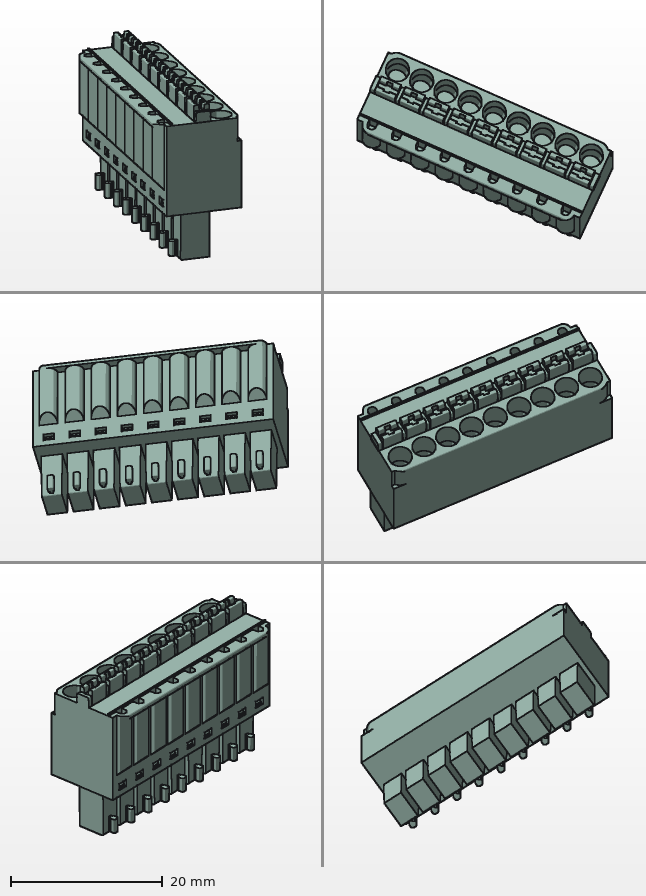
import cadquery as cq
import math


POLES = 9
BODY_LENGTH = 32.2
END_POLE_INSET = 2.1
PITCH = (BODY_LENGTH - 2 * END_POLE_INSET) / (POLES - 1)
POLE_X = [(i - (POLES - 1) / 2) * PITCH for i in range(POLES)]

BODY_DEPTH = 10.53
BODY_BOTTOM = 6.62
BODY_TOP = 19.2
BACK_TOP_FILLET = 0.3
CORNER_CUT_DEPTH = 0.58
CORNER_CUT_BOTTOM = 15.95
CORNER_LEDGE = 0.45
CORNER_RADIUS = 1.85

BARREL_RADIUS = 1.25
BARREL_REACH = 1.15
BARREL_CENTER_Y = BARREL_RADIUS - BARREL_REACH
BARREL_BOTTOM = 10.05
LID_BOTTOM = 18.5
LID_FILLET = 0.3
TEST_SLOT_DIAMETER = 1.2
TEST_SLOT_DEPTH = 3.23

RAIL_FRONT = 0.68
RAIL_WIDTH = 0.2
RAIL_HEIGHT = 0.23

FUNNEL_CENTER_Y = 8.27
FUNNEL_DIAMETER = 3.1
FUNNEL_FLOOR_WIDTH = 2.42
FUNNEL_FLOOR_DEPTH = 1.85
FUNNEL_BORE_DEPTH = 3.23
FUNNEL_TAPER_HEIGHT = 1.1

RIDGE_FRONT = 4.07
RIDGE_BACK = 6.2
RIDGE_CENTER_Y = (RIDGE_FRONT + RIDGE_BACK) / 2
RIDGE_TOP = 20.67
RIDGE_DRAFT = 0.1
RIDGE_FILLET = 0.2
RIDGE_OVERHANG = 0.1
RIDGE_SHIFT = RIDGE_OVERHANG / 2
RIDGE_GAP_WIDTH = 3.05

BUTTON_WIDTH = 2.85
BUTTON_TOP = 21.4
BUTTON_FILLET = 0.15
GROOVE_FLOOR_Z = 20.5
GROOVE_TOP_WIDTH = 0.85
GROOVE_FLOOR_WIDTH = 0.58
NOTCH_WIDTH = 0.78
NOTCH_FRONT = 4.5
NOTCH_BACK = 5.85
NOTCH_FLOOR_BACK = 5.55

WINDOW_WIDTH = 1.45
WINDOW_BOTTOM = 7.53
WINDOW_TOP = 8.5
WINDOW_DEPTH = 0.65
WEDGE_WIDTH = 1.3
WEDGE_FRONT = 0.25
WEDGE_STEP = 0.3

LEG_FRONT = 2.23
LEG_BACK = 6.3
LEG_TOP_WIDTH = 2.85
LEG_BOTTOM_WIDTH = 2.68
LEG_FILLET = 0.3

LUG_BOTTOM = 0.32
LUG_TOP = 2.45
LUG_WIDTH = 0.87
LUG_STEM_WIDTH = 0.45
LUG_REACH = 1.15
LUG_STEM_LENGTH = 0.2
LUG_FLARE_LENGTH = 0.3
LUG_NOSE_RADIUS = 0.32
LUG_BOTTOM_FILLET = 0.15

OVERLAP = 0.15


def box(x_range, y_range, z_range):
    """Box between the given limits along each axis."""
    (x0, x1), (y0, y1), (z0, z1) = x_range, y_range, z_range
    return cq.Workplane("XY").box(x1 - x0, y1 - y0, z1 - z0, centered=False).translate((x0, y0, z0))


def centered(width):
    """Limits of a width centred on zero."""
    return (-width / 2, width / 2)


def prism_along_x(points, width):
    """Closed (Y, Z) outline extruded along X, centred on X = 0."""
    return cq.Workplane("YZ").polyline(points).close().extrude(width / 2, both=True)


def at_each_pole(shape):
    """Copies of a shape, modelled at X = 0, placed at every pole."""
    solid = shape.val()
    return cq.Workplane(cq.Compound.makeCompound([solid.translate(cq.Vector(x, 0, 0)) for x in POLE_X]))


def make_housing():
    housing = box(centered(BODY_LENGTH), (0, BODY_DEPTH), (BODY_BOTTOM, BODY_TOP))
    housing = housing.edges(">Y and >Z").fillet(BACK_TOP_FILLET)
    corner = make_corner_cut()
    return housing.cut(corner).cut(corner.mirror("YZ"))


def make_corner_cut():
    """Relief at the left back corner: a flat ledge that runs into the back face by an arc."""
    arc_run = math.sqrt(CORNER_RADIUS**2 - (CORNER_RADIUS - CORNER_CUT_DEPTH) ** 2)
    end_x = -BODY_LENGTH / 2
    ledge_y = BODY_DEPTH - CORNER_CUT_DEPTH
    arc_start_x = end_x + CORNER_LEDGE
    return (
        cq.Workplane("XY", origin=(0, 0, CORNER_CUT_BOTTOM))
        .moveTo(end_x, BODY_DEPTH)
        .lineTo(end_x, ledge_y)
        .lineTo(arc_start_x, ledge_y)
        .radiusArc((arc_start_x + arc_run, BODY_DEPTH), CORNER_RADIUS)
        .close()
        .extrude(BODY_TOP - CORNER_CUT_BOTTOM)
    )


def make_front_barrels():
    """Round barrels and their lid, trimmed to one side profile with a sloped foot."""
    back = BARREL_CENTER_Y + OVERLAP
    profile = [
        (back, BARREL_BOTTOM - back),
        (-BARREL_REACH, BARREL_BOTTOM + BARREL_REACH),
        (-BARREL_REACH, BODY_TOP),
        (back, BODY_TOP),
    ]
    envelope = prism_along_x(profile, BODY_LENGTH).edges("<Y and >Z").fillet(LID_FILLET)
    barrel = (
        cq.Workplane("XY", origin=(0, BARREL_CENTER_Y, BODY_BOTTOM))
        .circle(BARREL_RADIUS)
        .extrude(BODY_TOP - BODY_BOTTOM)
    )
    lid = box((POLE_X[0], POLE_X[-1]), (-BARREL_REACH, back), (LID_BOTTOM, BODY_TOP))
    return lid.union(at_each_pole(barrel)).intersect(envelope)


def make_test_slot():
    """U-shaped slot: round at the front, flat at the back where it meets the rail."""
    radius = TEST_SLOT_DIAMETER / 2
    return (
        cq.Workplane("XY", origin=(0, 0, BODY_TOP - TEST_SLOT_DEPTH))
        .moveTo(-radius, RAIL_FRONT)
        .lineTo(-radius, BARREL_CENTER_Y)
        .threePointArc((0, BARREL_CENTER_Y - radius), (radius, BARREL_CENTER_Y))
        .lineTo(radius, RAIL_FRONT)
        .close()
        .extrude(TEST_SLOT_DEPTH)
    )


def make_rail():
    return box(
        centered(BODY_LENGTH),
        (RAIL_FRONT, RAIL_FRONT + RAIL_WIDTH),
        (BODY_TOP - OVERLAP, BODY_TOP + RAIL_HEIGHT),
    )


def make_funnel():
    """Wire entry: a round bore that narrows at its bottom to an elliptical floor."""
    taper_top = BODY_TOP - FUNNEL_BORE_DEPTH
    bore = (
        cq.Workplane("XY", origin=(0, FUNNEL_CENTER_Y, taper_top))
        .circle(FUNNEL_DIAMETER / 2)
        .extrude(FUNNEL_BORE_DEPTH)
    )
    taper = (
        cq.Workplane("XY", origin=(0, FUNNEL_CENTER_Y, taper_top))
        .circle(FUNNEL_DIAMETER / 2)
        .workplane(offset=-FUNNEL_TAPER_HEIGHT)
        .ellipse(FUNNEL_FLOOR_WIDTH / 2, FUNNEL_FLOOR_DEPTH / 2)
        .loft(ruled=True)
    )
    return bore.union(taper)


def make_ridge_with_buttons():
    """Drafted ridge with a button standing in a gap at each pole; it overhangs the housing at the right end."""
    profile = [
        (RIDGE_FRONT, BODY_TOP),
        (RIDGE_FRONT + RIDGE_DRAFT, RIDGE_TOP),
        (RIDGE_BACK - RIDGE_DRAFT, RIDGE_TOP),
        (RIDGE_BACK, BODY_TOP),
    ]
    ridge = prism_along_x(profile, BODY_LENGTH + RIDGE_OVERHANG)
    ridge = ridge.faces(">Z").edges("|X").fillet(RIDGE_FILLET)
    gap = box(centered(RIDGE_GAP_WIDTH), (RIDGE_FRONT, RIDGE_BACK), (BODY_TOP, RIDGE_TOP))
    ridge = ridge.cut(at_each_pole(gap))
    return ridge.union(at_each_pole(make_button())).translate((RIDGE_SHIFT, 0, 0))


def make_button():
    """Push button with a lengthwise screwdriver groove and a cross notch in the middle."""
    button = box(centered(BUTTON_WIDTH), (RIDGE_FRONT, RIDGE_BACK), (BODY_TOP - OVERLAP, BUTTON_TOP))
    groove = [
        (RIDGE_CENTER_Y - GROOVE_TOP_WIDTH / 2, BUTTON_TOP),
        (RIDGE_CENTER_Y - GROOVE_FLOOR_WIDTH / 2, GROOVE_FLOOR_Z),
        (RIDGE_CENTER_Y + GROOVE_FLOOR_WIDTH / 2, GROOVE_FLOOR_Z),
        (RIDGE_CENTER_Y + GROOVE_TOP_WIDTH / 2, BUTTON_TOP),
    ]
    button = button.cut(prism_along_x(groove, BUTTON_WIDTH))
    button = button.faces(">Z").edges("|X").fillet(BUTTON_FILLET)
    notch = [
        (NOTCH_FRONT, BUTTON_TOP),
        (NOTCH_FRONT, GROOVE_FLOOR_Z),
        (NOTCH_FLOOR_BACK, GROOVE_FLOOR_Z),
        (NOTCH_BACK, BUTTON_TOP),
    ]
    return button.cut(prism_along_x(notch, NOTCH_WIDTH))


def make_window():
    """Latch window pocket, leaving a stepped wedge with a 45 degree top inside it."""
    pocket = box(centered(WINDOW_WIDTH), (0, WINDOW_DEPTH), (WINDOW_BOTTOM, WINDOW_TOP))
    step_z = WINDOW_BOTTOM + WEDGE_STEP
    wedge = [
        (WEDGE_FRONT, WINDOW_BOTTOM),
        (WEDGE_FRONT, step_z),
        (WINDOW_DEPTH, step_z + WINDOW_DEPTH - WEDGE_FRONT),
        (WINDOW_DEPTH, WINDOW_BOTTOM),
    ]
    return pocket.cut(prism_along_x(wedge, WEDGE_WIDTH))


def make_leg():
    """Leg narrowing slightly downwards, rounded at its front bottom edge."""
    outline = [
        (-LEG_TOP_WIDTH / 2, BODY_BOTTOM),
        (LEG_TOP_WIDTH / 2, BODY_BOTTOM),
        (LEG_BOTTOM_WIDTH / 2, 0),
        (-LEG_BOTTOM_WIDTH / 2, 0),
    ]
    leg = (
        cq.Workplane("XZ", origin=(0, LEG_BACK, 0)).polyline(outline).close().extrude(LEG_BACK - LEG_FRONT)
    )
    return leg.edges("<Y and <Z").fillet(LEG_FILLET)


def make_lug():
    """Coding lug: a narrow stem flaring to a wider head with a rounded nose."""
    half_stem = LUG_STEM_WIDTH / 2
    half_head = LUG_WIDTH / 2
    flare_y = LEG_FRONT - LUG_STEM_LENGTH
    head_y = flare_y - LUG_FLARE_LENGTH
    nose_y = LEG_FRONT - LUG_REACH
    outline = [
        (-half_stem, LEG_FRONT + OVERLAP),
        (-half_stem, flare_y),
        (-half_head, head_y),
        (-half_head, nose_y),
        (half_head, nose_y),
        (half_head, head_y),
        (half_stem, flare_y),
        (half_stem, LEG_FRONT + OVERLAP),
    ]
    lug = cq.Workplane("XY", origin=(0, 0, LUG_BOTTOM)).polyline(outline).close().extrude(LUG_TOP - LUG_BOTTOM)
    lug = lug.edges("|Z and <Y").fillet(LUG_NOSE_RADIUS)
    return lug.edges("<Y and <Z").fillet(LUG_BOTTOM_FILLET)


result = (
    make_housing()
    .union(make_front_barrels())
    .union(make_rail())
    .union(make_ridge_with_buttons())
    .union(at_each_pole(make_leg()))
    .union(at_each_pole(make_lug()))
    .cut(at_each_pole(make_test_slot()))
    .cut(at_each_pole(make_funnel()))
    .cut(at_each_pole(make_window()))
)